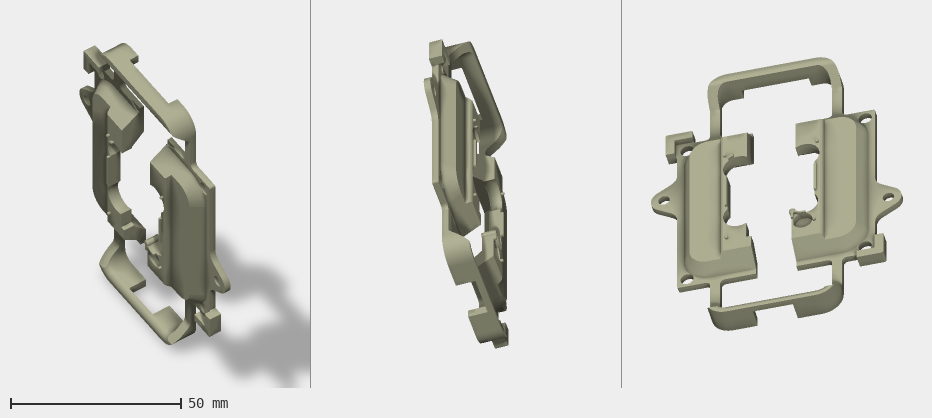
import cadquery as cq
import math


PLATE_HALF = 30.0
PLATE_DEPTH = 2.0
CORNER_RADIUS = 0.6
MOUNT_HOLE_DIA = 4.0
MOUNT_HOLE_OFFSET = 27.0

EAR_X = 34.0
EAR_Z = 8.0
EAR_RADIUS = 4.0
EAR_BLEND_SPAN = 9.4
EAR_HOLE_DIA = 3.4

BRACKET_OUTER = 33.0
BRACKET_LENGTH = 8.1
BRACKET_WALL = 2.7
BRACKET_DEPTH = 4.0

HANDLE_HALF_X = 20.0
HANDLE_HALF_Z = 50.0
HANDLE_RADIUS = 6.5
HANDLE_WALL = 3.0
HANDLE_DEPTH = 8.0
HANDLE_ROOT_RADIUS = 1.5
RAMP_START_Z = 41.3
RAMP_BLEND_RADIUS = 2.0
GRIP_ROUND = 2.0
TOP_NOTCH_HALF_X = 10.2
TOP_NOTCH_DEPTH = 3.1
BOTTOM_NOTCH_HALF_X = 6.1
BOTTOM_NOTCH_DEPTH = HANDLE_DEPTH - GRIP_ROUND

BODY_HALF = 28.0
BODY_TOP_HALF = 24.0
BODY_RADIUS = 8.2
BODY_DEPTH = 7.8
SHELF_DEPTH = 6.0
STEP_OUTER_X = 15.9
STEP_RIM_X = 15.4
STEP_INNER_X = 14.8
STEP_CHAMFER = 0.4

RECESS_DEPTH = 4.2
RECESS_HALF_X = 18.0
RECESS_TOP_Z = 14.3
RECESS_BOTTOM_Z = -20.3

UPPER_GAP_HALF = 7.3
LOWER_GAP_HALF = 6.1
LEDGE_X = 7.6
LEDGE_Z = -19.8
WAIST_LEFT_X = -13.3
WAIST_RIGHT_X = 13.1
LOBE_OFFSET = 10.0
LOBE_RADIUS = 4.6
SMALL_LOBE_RADIUS = 4.3
SMALL_LOBE_OFFSET = 9.9

RELIEF_DEPTH = 0.5
RELIEF_OUTER_X = 11.4
RELIEF_INNER_X = 8.4
RELIEF_BOTTOM_Z = 28.2

DETAIL_DEPTH = 8.7
PIN_DIA = 1.0
PIN_CENTRES = [(-14.0, 15.6), (14.0, 14.6), (-13.5, -19.0), (13.1, -18.0)]
PIN_CHAMFER = 0.2
RIB_WIDTH = 0.7
LEFT_RIB_Z = (-5.7, 6.5)
RIGHT_RIB_Z = (-5.8, 4.9)
RIM_WIDTH = 0.6
UPPER_RIM_X = (-12.9, -11.3)
LOWER_RIM_END_X = 10.5

POST_CENTRE = (6.5, -13.2)
POST_RADIUS = 1.0
STUB_WIDTH = 0.7
STUB_BOTTOM_Z = -16.0
POCKET_CENTRE = (9.5, -17.3)
POCKET_RADIUS = 3.0
POCKET_TAPER = 10.0


def at_depth(depth):
    return cq.Workplane("XZ", origin=(0, -depth, 0))


def block(x_range, z_range, depth_from, depth_to):
    """Box between two X values, two Z values and two depths."""
    width = x_range[1] - x_range[0]
    height = z_range[1] - z_range[0]
    base = at_depth(depth_from).center(x_range[0], z_range[0])
    return base.rect(width, height, centered=False).extrude(depth_to - depth_from)


def cylinder(centre, radius, depth_from, depth_to):
    return at_depth(depth_from).center(*centre).circle(radius).extrude(depth_to - depth_from)


def half_turn(shape):
    """Copy of a shape turned half a turn about the Y axis."""
    return shape.rotate((0, 0, 0), (0, 1, 0), 180)


def rounded_frame(depth):
    """Full rounded rectangular ring that both handles are taken from."""
    outer = at_depth(0).rect(2 * HANDLE_HALF_X, 2 * HANDLE_HALF_Z).extrude(depth)
    outer = outer.edges("|Y").fillet(HANDLE_RADIUS)
    inner_x = HANDLE_HALF_X - HANDLE_WALL
    inner_z = HANDLE_HALF_Z - HANDLE_WALL
    inner = at_depth(0).rect(2 * inner_x, 2 * inner_z).extrude(depth)
    inner = inner.edges("|Y").fillet(HANDLE_RADIUS - HANDLE_WALL)
    return outer.cut(inner)


def plate_with_legs():
    """Square plate joined to the thin handle legs by small root fillets."""
    plate = at_depth(0).rect(2 * PLATE_HALF, 2 * PLATE_HALF).extrude(PLATE_DEPTH)
    plate = plate.edges("|Y").fillet(CORNER_RADIUS)
    plate = plate.union(rounded_frame(PLATE_DEPTH).cut(plate))
    reach = 0.1
    for side in (-1, 1):
        for end in (-1, 1):
            for leg_x in (HANDLE_HALF_X, HANDLE_HALF_X - HANDLE_WALL):
                x = side * leg_x
                z = end * PLATE_HALF
                root = cq.selectors.BoxSelector(
                    (x - reach, -PLATE_DEPTH, z - reach), (x + reach, 0, z + reach)
                )
                plate = plate.edges("|Y").edges(root).fillet(HANDLE_ROOT_RADIUS)
    return plate


def handle(rounded_grip):
    """Upper handle: legs ramp from plate depth out to the full bar depth.

    The bar has its inner front edge rounded, or the ramp runs out in a blend instead.
    """
    ramp_end_z = HANDLE_HALF_Z - HANDLE_WALL
    frame = rounded_frame(HANDLE_DEPTH)
    if rounded_grip:
        front_loop = frame.faces("<Y").wires(cq.selectors.AreaNthSelector(0))
        frame = frame.newObject(front_loop.edges().vals()).fillet(GRIP_ROUND)
    side_profile = (
        cq.Workplane("YZ", origin=(-HANDLE_HALF_X, 0, 0))
        .moveTo(0, PLATE_HALF)
        .lineTo(-PLATE_DEPTH, PLATE_HALF)
        .lineTo(-PLATE_DEPTH, RAMP_START_Z)
        .lineTo(-HANDLE_DEPTH, ramp_end_z)
        .lineTo(-HANDLE_DEPTH, HANDLE_HALF_Z)
        .lineTo(0, HANDLE_HALF_Z)
        .close()
        .extrude(2 * HANDLE_HALF_X)
    )
    ramp_root = cq.selectors.NearestToPointSelector((0, -PLATE_DEPTH, RAMP_START_Z))
    side_profile = side_profile.edges("|X").edges(ramp_root).fillet(RAMP_BLEND_RADIUS)
    if not rounded_grip:
        ramp_top = cq.selectors.NearestToPointSelector((0, -HANDLE_DEPTH, ramp_end_z))
        side_profile = side_profile.edges("|X").edges(ramp_top).fillet(RAMP_BLEND_RADIUS)
    return frame.intersect(side_profile)


def bar_notch(half_x, depth):
    """Cut across the back of the upper handle bar."""
    inner_z = HANDLE_HALF_Z - HANDLE_WALL
    return block((-half_x, half_x), (inner_z, HANDLE_HALF_Z), 0, depth)


def ear():
    """Left ear: a round end running into the plate edge through reverse curves."""
    cos_tilt = 2 * EAR_RADIUS / EAR_BLEND_SPAN
    sin_tilt = math.sqrt(1 - cos_tilt**2)
    dx = EAR_RADIUS * sin_tilt
    dz = EAR_RADIUS * cos_tilt
    half_angle = (math.pi / 2 - math.asin(sin_tilt)) / 2
    mid_x = EAR_RADIUS * math.cos(half_angle)
    mid_z = EAR_BLEND_SPAN - EAR_RADIUS * math.sin(half_angle)
    inside_plate = 2 * EAR_RADIUS
    outline = (
        at_depth(0)
        .center(-EAR_X, EAR_Z)
        .moveTo(inside_plate, EAR_BLEND_SPAN)
        .lineTo(EAR_RADIUS, EAR_BLEND_SPAN)
        .threePointArc((mid_x, mid_z), (dx, EAR_BLEND_SPAN - dz))
        .lineTo(-dx, dz)
        .threePointArc((-EAR_RADIUS, 0), (-dx, -dz))
        .lineTo(dx, dz - EAR_BLEND_SPAN)
        .threePointArc((mid_x, -mid_z), (EAR_RADIUS, -EAR_BLEND_SPAN))
        .lineTo(inside_plate, -EAR_BLEND_SPAN)
        .close()
    )
    return outline.extrude(PLATE_DEPTH)


def bracket():
    """Upper left corner bracket: an L wall standing around the plate corner."""
    near = BRACKET_OUTER - BRACKET_LENGTH
    inner = BRACKET_OUTER - BRACKET_WALL
    corner = block((-BRACKET_OUTER, -near), (near, BRACKET_OUTER), 0, BRACKET_DEPTH)
    corner = corner.edges("|Y and <X and >Z").fillet(CORNER_RADIUS)
    return corner.cut(block((-inner, -near), (near, inner), PLATE_DEPTH, BRACKET_DEPTH))


def raised_body():
    """Block with sloping sides, stepped down to a shelf along both long sides."""
    rise = BODY_DEPTH - PLATE_DEPTH
    slope = math.degrees(math.atan2(BODY_HALF - BODY_TOP_HALF, rise))
    outline = cq.Sketch().rect(2 * BODY_HALF, 2 * BODY_HALF).vertices().fillet(BODY_RADIUS)
    body = at_depth(PLATE_DEPTH).placeSketch(outline).extrude(rise, taper=slope)
    step = (
        cq.Workplane("XY", origin=(0, 0, -BODY_HALF))
        .moveTo(BODY_HALF, -SHELF_DEPTH)
        .lineTo(STEP_OUTER_X, -SHELF_DEPTH)
        .lineTo(STEP_RIM_X, -(BODY_DEPTH - STEP_CHAMFER))
        .lineTo(STEP_INNER_X, -BODY_DEPTH)
        .lineTo(BODY_HALF, -BODY_DEPTH)
        .close()
        .extrude(2 * BODY_HALF)
    )
    return body.cut(step).cut(step.mirror("YZ"))


def back_recess():
    """Hollow behind the body, wider at the back face than at its floor."""
    floor_height = RECESS_TOP_Z - RECESS_BOTTOM_Z
    middle_z = (RECESS_TOP_Z + RECESS_BOTTOM_Z) / 2
    return (
        at_depth(0)
        .center(0, middle_z)
        .rect(2 * (RECESS_HALF_X + RECESS_DEPTH), floor_height + 2 * RECESS_DEPTH)
        .extrude(RECESS_DEPTH, taper=45)
    )


def central_opening():
    """Slot through plate and body, with a wide waist and four round lobes."""
    upper = (-UPPER_GAP_HALF, UPPER_GAP_HALF)
    opening = block(upper, (-LOBE_OFFSET, PLATE_HALF), 0, BODY_DEPTH)
    opening = opening.union(block((-LEDGE_X, LOWER_GAP_HALF), (LEDGE_Z, 0), 0, BODY_DEPTH))
    lower = (-LOWER_GAP_HALF, LOWER_GAP_HALF)
    opening = opening.union(block(lower, (-PLATE_HALF, LEDGE_Z), 0, BODY_DEPTH))
    waist = (WAIST_LEFT_X, WAIST_RIGHT_X)
    waist_half_z = LOBE_OFFSET - LOBE_RADIUS / 2
    opening = opening.union(block(waist, (-waist_half_z, waist_half_z), 0, BODY_DEPTH))
    for side, end in ((-1, 1), (1, 1), (-1, -1)):
        centre = (side * LOBE_OFFSET, end * LOBE_OFFSET)
        opening = opening.union(cylinder(centre, LOBE_RADIUS, 0, BODY_DEPTH))
    small_centre = (SMALL_LOBE_OFFSET, -SMALL_LOBE_OFFSET)
    return opening.union(cylinder(small_centre, SMALL_LOBE_RADIUS, 0, BODY_DEPTH))


def corner_relief():
    """Shallow relief in the plate at the right side of the upper gap."""
    return (
        at_depth(PLATE_DEPTH - RELIEF_DEPTH)
        .moveTo(RELIEF_OUTER_X, PLATE_HALF)
        .lineTo(RELIEF_INNER_X, RELIEF_BOTTOM_Z)
        .lineTo(UPPER_GAP_HALF, RELIEF_BOTTOM_Z)
        .lineTo(UPPER_GAP_HALF, PLATE_HALF)
        .close()
        .extrude(RELIEF_DEPTH)
    )


def latch_pocket():
    """Round pocket with a slight taper, cut off flat beside the stub wall."""
    disc = cq.Workplane("ZX", origin=(POCKET_CENTRE[0], -BODY_DEPTH, POCKET_CENTRE[1]))
    disc = disc.circle(POCKET_RADIUS).extrude(BODY_DEPTH - SHELF_DEPTH, taper=POCKET_TAPER)
    wall_x = LOWER_GAP_HALF + STUB_WIDTH
    return disc.intersect(block((wall_x, PLATE_HALF), (-PLATE_HALF, 0), 0, BODY_DEPTH))


def rim(centre, radius, x_range, z_range):
    """Raised lip that follows the edge of a lobe inside the given window."""
    ring = at_depth(RECESS_DEPTH).center(*centre).circle(radius + RIM_WIDTH).circle(radius)
    ring = ring.extrude(DETAIL_DEPTH - RECESS_DEPTH)
    return ring.intersect(block(x_range, z_range, RECESS_DEPTH, DETAIL_DEPTH))


def front_details():
    """Pins, ribs and lips that stand proud of the front face."""
    left_rib_x = (WAIST_LEFT_X - RIB_WIDTH, WAIST_LEFT_X)
    details = block(left_rib_x, LEFT_RIB_Z, SHELF_DEPTH, DETAIL_DEPTH)
    right_rib_x = (WAIST_RIGHT_X, WAIST_RIGHT_X + RIB_WIDTH)
    details = details.union(block(right_rib_x, RIGHT_RIB_Z, SHELF_DEPTH, DETAIL_DEPTH))
    for centre in PIN_CENTRES:
        pin = cylinder(centre, PIN_DIA / 2, SHELF_DEPTH, DETAIL_DEPTH)
        details = details.union(pin.faces("<Y").chamfer(PIN_CHAMFER))
    upper_lobe = (-LOBE_OFFSET, LOBE_OFFSET)
    details = details.union(rim(upper_lobe, LOBE_RADIUS, UPPER_RIM_X, (LOBE_OFFSET, PLATE_HALF)))
    small_lobe = (SMALL_LOBE_OFFSET, -SMALL_LOBE_OFFSET)
    lower_rim_x = (POST_CENTRE[0], LOWER_RIM_END_X)
    lower_rim_z = (-PLATE_HALF, -SMALL_LOBE_OFFSET)
    details = details.union(rim(small_lobe, SMALL_LOBE_RADIUS, lower_rim_x, lower_rim_z))
    post = cylinder(POST_CENTRE, POST_RADIUS, RECESS_DEPTH, DETAIL_DEPTH)
    details = details.union(post.faces("<Y").chamfer(PIN_CHAMFER))
    stub_x = (LOWER_GAP_HALF, LOWER_GAP_HALF + STUB_WIDTH)
    stub_z = (STUB_BOTTOM_Z, POST_CENTRE[1])
    return details.union(block(stub_x, stub_z, RECESS_DEPTH, DETAIL_DEPTH))


top_handle = handle(rounded_grip=False)
bottom_handle = handle(rounded_grip=True)

result = plate_with_legs().union(ear()).union(half_turn(ear()))
result = result.union(bracket()).union(half_turn(bracket()))
result = result.union(raised_body())
result = result.cut(back_recess()).cut(central_opening())
result = result.cut(corner_relief()).cut(corner_relief().mirror("YZ"))
result = result.cut(latch_pocket())
result = result.union(front_details())
result = result.union(top_handle).union(half_turn(bottom_handle))
result = result.cut(bar_notch(TOP_NOTCH_HALF_X, TOP_NOTCH_DEPTH))
result = result.cut(half_turn(bar_notch(BOTTOM_NOTCH_HALF_X, BOTTOM_NOTCH_DEPTH)))

for x_side in (-1, 1):
    for z_side in (-1, 1):
        mount = (x_side * MOUNT_HOLE_OFFSET, z_side * MOUNT_HOLE_OFFSET)
        result = result.cut(cylinder(mount, MOUNT_HOLE_DIA / 2, 0, BODY_DEPTH))
    ear_centre = (x_side * EAR_X, -x_side * EAR_Z)
    result = result.cut(cylinder(ear_centre, EAR_HOLE_DIA / 2, 0, PLATE_DEPTH))